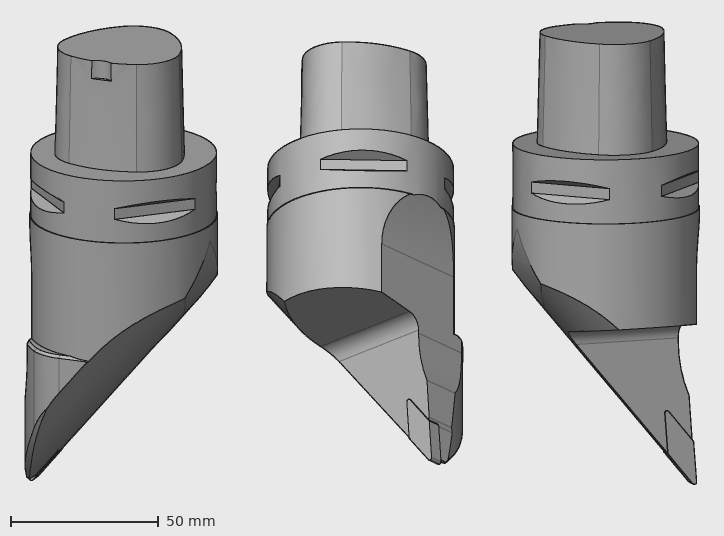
import cadquery as cq
import math


shank_height = 38.0
shank_flat_reach = 20.5
shank_side_radius = 36.2
shank_join_angle = 20.0
shank_taper_inset = 1.0
notch_radius = 5.5
notch_centre_y = -23.6
notch_depth = 6.3

collar_radius = 31.5
collar_height = 22.0
groove_z = -11.8
groove_floor_distance = 27.9
groove_floor_height = 3.8
groove_mouth_height = 7.7

head_radius = 31.8
head_bottom_z = -117.5
shoulder_z = -64.1
shoulder_chamfer = 1.0
lower_head_side = (-32.9, 0)
lower_head_side_bend = (-29.3, -16.5)
lower_head_corner = (-21.1, -28.0)
lower_head_corner_bend = (-16.4, -31.0)
lower_head_front = (-10.2, -32.1)

flat_x = -26.3
flank_run_out = 1.5
flat_top_z = -42.8
flat_bottom_z = -70.0
upper_flank_radius = 50.4
lower_flank_radius = 47.9
flank_knee_z = -88.8
flank_step_top = (-31.2, -103.0)
flank_step_bottom = (-31.0, -104.7)
flank_tip_x = -32.0

under_angle = 39.8
under_axis_z = -81.3
under_bend_top_z = -27.5
under_round_radius = 55.1

relief_top = cq.Vector(-14.8, -31.3, -84.3)
relief_bottom = cq.Vector(-31.5, -8.7, -117.2)
relief_facing = cq.Vector(-0.15, -1.06, -0.65)
relief_bulge = 3.0

rake_y = -0.5
rake_roof_z = -58.5
rake_roof_angle = 10.0
rake_fillet = 5.5

insert_side = 16.5
insert_nose_angle = 35.0
insert_lean = 4.4
insert_nose_radius = 0.8
insert_thickness = 4.7
insert_corner = (-32.9, -121.1)

reach = 94.5


def polar(radius, degrees):
    """Point at a radius and an angle from +X."""
    return (radius * math.cos(math.radians(degrees)), radius * math.sin(math.radians(degrees)))


def shank_outline(plane, inset):
    """Six tangent arcs: three shallow sides and three lobes."""
    join = math.radians(shank_join_angle)
    side_offset = shank_side_radius - shank_flat_reach
    scale = side_offset / math.sin(math.radians(60) - join)
    lobe_offset = scale * math.sin(join)
    lobe_radius = shank_side_radius - scale * math.sin(math.radians(120))
    join_x = (shank_side_radius - inset) * math.sin(join)
    join_y = side_offset - (shank_side_radius - inset) * math.cos(join)
    join_reach = math.hypot(join_x, join_y)
    half_side = math.degrees(math.atan2(join_x, -join_y))

    outline = plane.moveTo(*polar(join_reach, -90 - half_side))
    for middle in (-90, 30, 150):
        outline = outline.threePointArc(
            polar(shank_flat_reach - inset, middle), polar(join_reach, middle + half_side)
        ).threePointArc(
            polar(lobe_offset + lobe_radius - inset, middle + 60),
            polar(join_reach, middle + 120 - half_side),
        )
    return outline.close()


def make_shank():
    base = shank_outline(cq.Workplane("XY"), 0)
    shank = shank_outline(base.workplane(offset=shank_height), shank_taper_inset).loft(ruled=True)
    notch = (
        cq.Workplane("XY", origin=(0, notch_centre_y, shank_height))
        .circle(notch_radius)
        .extrude(-notch_depth)
    )
    return shank.cut(notch)


def groove_cutter(angle):
    """Straight groove with flared sides, square to the given direction."""
    depth = collar_radius - groove_floor_distance
    flare = (groove_mouth_height - groove_floor_height) / 2 / depth
    half_floor = groove_floor_height / 2
    outer = collar_radius + depth
    half_outer = half_floor + flare * (outer - groove_floor_distance)
    return (
        cq.Workplane("XZ")
        .polyline([
            (groove_floor_distance, groove_z - half_floor),
            (outer, groove_z - half_outer),
            (outer, groove_z + half_outer),
            (groove_floor_distance, groove_z + half_floor),
        ])
        .close()
        .extrude(collar_radius, both=True)
        .rotate((0, 0, 0), (0, 0, 1), angle)
    )


def make_collar():
    collar = cq.Workplane("XY").circle(collar_radius).extrude(-collar_height)
    for angle in (45, 135, 225, 315):
        collar = collar.cut(groove_cutter(angle))
    return collar


def make_head_blank():
    """Round head, widened towards the -X, -Y corner below the shoulder."""
    head = (
        cq.Workplane("XY", origin=(0, 0, -collar_height))
        .circle(head_radius)
        .extrude(head_bottom_z + collar_height)
    )
    lower = (
        cq.Workplane("XY", origin=(0, 0, shoulder_z))
        .moveTo(0, 0)
        .lineTo(*lower_head_side)
        .threePointArc(lower_head_side_bend, lower_head_corner)
        .threePointArc(lower_head_corner_bend, lower_head_front)
        .lineTo(0, lower_head_front[1])
        .close()
        .extrude(head_bottom_z - shoulder_z)
        .faces(">Z")
        .edges("%CIRCLE")
        .chamfer(shoulder_chamfer)
    )
    return head.union(lower)


def flank_cutter():
    """Everything outside the curved -X flank."""
    top_x = -collar_radius - flank_run_out
    top_rise = math.sqrt(upper_flank_radius**2 - (upper_flank_radius + top_x - flat_x) ** 2)
    bend = math.asin((flat_bottom_z - flank_knee_z) / lower_flank_radius)
    knee_x = flat_x - lower_flank_radius * (1 - math.cos(bend))

    def bend_point(radius, centre_z, angle):
        return (flat_x - radius * (1 - math.cos(angle)), centre_z + radius * math.sin(angle))

    top_angle = math.asin(top_rise / upper_flank_radius)
    return (
        cq.Workplane("XZ")
        .moveTo(-reach, flat_top_z + top_rise)
        .lineTo(top_x, flat_top_z + top_rise)
        .threePointArc(bend_point(upper_flank_radius, flat_top_z, top_angle / 2), (flat_x, flat_top_z))
        .lineTo(flat_x, flat_bottom_z)
        .threePointArc(bend_point(lower_flank_radius, flat_bottom_z, -bend / 2), (knee_x, flank_knee_z))
        .lineTo(*flank_step_top)
        .lineTo(*flank_step_bottom)
        .lineTo(flank_tip_x, head_bottom_z)
        .lineTo(-reach, head_bottom_z)
        .close()
        .extrude(reach, both=True)
    )


def underside_envelope():
    """Space above the sloping underside: a bent profile, rounded across Y."""
    slope = math.radians(under_angle)
    run = math.tan(slope)
    corner_z = under_axis_z + head_radius / run
    tangent = under_bend_top_z - corner_z
    bend_radius = tangent / math.tan(slope / 2)
    bend_centre_x = head_radius - bend_radius
    bend_end = (head_radius - tangent * math.sin(slope), corner_z - tangent * math.cos(slope))
    bend_middle = (
        bend_centre_x + bend_radius * math.cos(slope / 2),
        under_bend_top_z - bend_radius * math.sin(slope / 2),
    )
    profile = (
        cq.Workplane("XZ")
        .moveTo(head_radius, 0)
        .lineTo(head_radius, under_bend_top_z)
        .threePointArc(bend_middle, bend_end)
        .lineTo(-reach, under_axis_z - reach / run)
        .lineTo(-reach, 0)
        .close()
        .extrude(reach, both=True)
    )
    axis_x = -under_round_radius * math.cos(slope)
    axis_z = under_axis_z + under_round_radius * math.sin(slope)
    round_plane = cq.Plane(
        origin=(axis_x, 0, axis_z), xDir=(0, 1, 0), normal=(math.sin(slope), 0, math.cos(slope))
    )
    rounding = cq.Workplane(round_plane).circle(under_round_radius).extrude(2 * reach, both=True)
    return profile.intersect(rounding)


def relief_cutter():
    """Everything below the relief top and outside a large cylinder bulging past the chord."""
    chord = relief_bottom - relief_top
    axis = chord.cross(relief_facing).normalized()
    outward = axis.cross(chord).normalized()
    radius = chord.Length**2 / (8 * relief_bulge) + relief_bulge / 2
    centre = (relief_top + relief_bottom) * 0.5 + outward * (relief_bulge - radius)
    keep = (
        cq.Workplane(cq.Plane(origin=centre, xDir=chord, normal=axis))
        .circle(radius)
        .extrude(2 * reach, both=True)
    )
    below = cq.Workplane("XY", origin=(0, 0, relief_top.z)).rect(reach, reach).extrude(-reach)
    return below.cut(keep)


def rake_cutter():
    """The +Y half below a slightly sloping roof, with a filleted inner corner."""
    fall = math.tan(math.radians(rake_roof_angle))
    return (
        cq.Workplane("YZ")
        .polyline([
            (rake_y, -2 * reach),
            (rake_y, rake_roof_z - (head_radius - rake_y) * fall),
            (reach, rake_roof_z + (reach - head_radius) * fall),
            (reach, -2 * reach),
        ])
        .close()
        .extrude(reach, both=True)
        .edges(cq.selectors.NearestToPointSelector((0, rake_y, shoulder_z)))
        .fillet(rake_fillet)
    )


def make_insert():
    """Rhombic plate with both acute corners rounded."""
    x, z = insert_corner
    left_x, left_z = polar(insert_side, 90 - insert_lean)
    right_x, right_z = polar(insert_side, 90 - insert_lean - insert_nose_angle)
    return (
        cq.Workplane("XZ")
        .polyline([
            (x, z),
            (x + right_x, z + right_z),
            (x + left_x + right_x, z + left_z + right_z),
            (x + left_x, z + left_z),
        ])
        .close()
        .extrude(insert_thickness)
        .edges("|Y")
        .edges("<Z or >Z")
        .fillet(insert_nose_radius)
    )


def make_holder(insert):
    head = make_head_blank().intersect(underside_envelope()).cut(relief_cutter()).cut(rake_cutter())
    body = make_shank().union(make_collar()).union(head)
    return body.cut(flank_cutter()).cut(insert)


cutting_insert = make_insert()
holder = make_holder(cutting_insert)
result = cq.Compound.makeCompound([holder.val(), cutting_insert.val()])